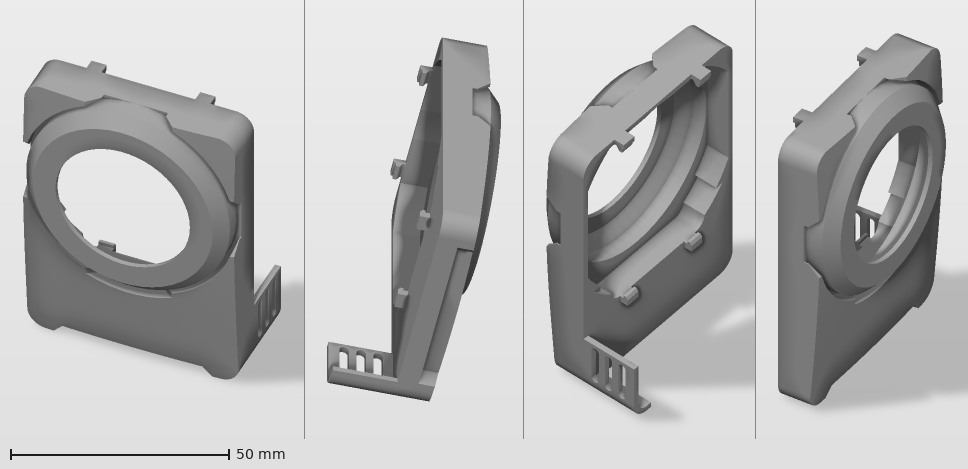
import cadquery as cq

WIDTH = 53.0
HEIGHT = 74.0
CORNER_RADIUS = 4.5
WALL = 1.5
SEAM_DEPTH = 6.95

COVER_DEPTH = 11.25
COVER_SLOPE = 0.1
CONE_REACH = 59.2

RING_RADIUS = 25.6
RING_CENTER_Z = HEIGHT - RING_RADIUS
RING_DEPTH = 14.5
RING_CHAMFER = 3.0
HOLE_RADIUS = 16.9
LIP_THICKNESS = 1.2
RING_BORE_RADIUS = 24.5
RING_BORE_CHAMFER = 2.95

GROOVE_RADIUS = 26.8
NOTCH_RADIUS = 28.2
NOTCH_STEP_DEPTH = 8.2
VERTICAL_NOTCH_HALF_WIDTH = 8.1
SIDE_NOTCH_HALF_WIDTH = 5.3

RECESS_DEPTH = 4.9
RECESS_HEIGHT = 2.45
RECESS_HALF_WIDTH = 19.9
RECESS_TOP_HALF_WIDTH = 17.6

POCKET_RADIUS = 29.6
POCKET_DEPTH = 6.4
POCKET_FLOOR_Z = 20.95
POCKET_FLOOR_HALF_WIDTH = 16.5
POCKET_CORNER_RADIUS = 2.95
LUG_RADIUS = 27.9
LUG_TOP_DROP = 11.7
LUG_BOTTOM_DROP = 18.8

FLANGE_LENGTH = 15.2
FLANGE_HEIGHT = 16.95
FLANGE_WIDTH = 6.0
SLOT_WIDTH = 2.15
SLOT_LENGTH = 11.0
SLOT_CENTER_Z = 10.4
SLOT_FIRST_Y = 3.5
SLOT_PITCH = 4.0
SLOT_COUNT = 3

HOOK_WIDTH = 3.8
TOP_HOOK_STARTS = (-15.55, 11.8)
BOTTOM_HOOK_STARTS = (-12.95, 9.8)
HOOK_THICKNESS = 1.8


def plate(depth, inset=0.0):
    """Rounded rectangle from the rear plane (Y = 0) forwards, optionally inset all round."""
    return (
        cq.Workplane("XZ")
        .center(0, HEIGHT / 2)
        .rect(WIDTH - 2 * inset, HEIGHT - 2 * inset)
        .extrude(depth)
        .edges("|Y")
        .fillet(CORNER_RADIUS - inset)
    )


def disc(radius, start, end):
    """Cylinder on the ring axis between two depths in front of the rear plane."""
    return (
        cq.Workplane("XZ", origin=(0, -start, RING_CENTER_Z))
        .circle(radius)
        .extrude(end - start)
    )


def turned(points):
    """Solid of revolution on the ring axis from (radius, depth) points."""
    return (
        cq.Workplane("XY", origin=(0, 0, RING_CENTER_Z))
        .polyline([(radius, -depth) for radius, depth in points])
        .close()
        .revolve(360, (0, 0, 0), (0, 1, 0))
    )


def cover_cone():
    center_depth = COVER_DEPTH + COVER_SLOPE * GROOVE_RADIUS
    rim_depth = center_depth - COVER_SLOPE * CONE_REACH
    return turned([(0, 0), (CONE_REACH, 0), (CONE_REACH, rim_depth), (0, center_depth)])


def notch_profile(workplane, half_width):
    """Channel profile: straight sides at the floor, then opening at 45 degrees."""
    flare = RING_DEPTH - NOTCH_STEP_DEPTH
    return workplane.polyline([
        (-half_width, -SEAM_DEPTH),
        (-half_width, -NOTCH_STEP_DEPTH),
        (-half_width - flare, -RING_DEPTH),
        (half_width + flare, -RING_DEPTH),
        (half_width, -NOTCH_STEP_DEPTH),
        (half_width, -SEAM_DEPTH),
    ]).close()


def notches():
    """Vertical and sideways channels crossing at the ring axis, ending at the notch radius."""
    vertical_plane = cq.Workplane("XY", origin=(0, 0, RING_CENTER_Z))
    side_plane = cq.Workplane(
        cq.Plane(origin=(0, 0, RING_CENTER_Z), xDir=(0, 0, -1), normal=(1, 0, 0))
    )
    vertical = notch_profile(vertical_plane, VERTICAL_NOTCH_HALF_WIDTH).extrude(NOTCH_RADIUS, both=True)
    sideways = notch_profile(side_plane, SIDE_NOTCH_HALF_WIDTH).extrude(NOTCH_RADIUS, both=True)
    return vertical.union(sideways).intersect(disc(NOTCH_RADIUS, SEAM_DEPTH, RING_DEPTH))


def bottom_recess():
    return (
        cq.Workplane("XZ", origin=(0, -RECESS_DEPTH, 0))
        .polyline([
            (-RECESS_HALF_WIDTH, 0),
            (RECESS_HALF_WIDTH, 0),
            (RECESS_TOP_HALF_WIDTH, RECESS_HEIGHT),
            (-RECESS_TOP_HALF_WIDTH, RECESS_HEIGHT),
        ])
        .close()
        .extrude(RING_DEPTH - RECESS_DEPTH)
    )


def bezel_ring():
    return disc(RING_RADIUS, SEAM_DEPTH, RING_DEPTH).faces("<Y").chamfer(RING_CHAMFER)


def ring_bore():
    """Bore behind the front lip, narrowing to follow the outer chamfer of the ring."""
    return (
        disc(RING_BORE_RADIUS, 0, RING_DEPTH - LIP_THICKNESS)
        .faces("<Y")
        .chamfer(RING_BORE_CHAMFER)
    )


def pocket_slab(bottom_z, top_z, half_width):
    """Block of pocket depth, centred on X, between two heights."""
    height = top_z - bottom_z
    return (
        cq.Workplane("XZ", origin=(0, 0, bottom_z + height / 2))
        .rect(2 * half_width, height)
        .extrude(POCKET_DEPTH)
    )


def rear_pocket():
    """Round pocket inside the rim walls, with a flat floor and a lug on either side."""
    lug_band = pocket_slab(
        RING_CENTER_Z - LUG_BOTTOM_DROP, RING_CENTER_Z - LUG_TOP_DROP, WIDTH / 2
    )
    lugs = lug_band.cut(disc(LUG_RADIUS, 0, POCKET_DEPTH))
    above_floor = pocket_slab(POCKET_FLOOR_Z, HEIGHT, WIDTH / 2)
    round_part = disc(POCKET_RADIUS, 0, POCKET_DEPTH).intersect(above_floor).cut(lugs)
    floor_part = (
        pocket_slab(POCKET_FLOOR_Z, RING_CENTER_Z, POCKET_FLOOR_HALF_WIDTH)
        .edges("|Y and <Z")
        .fillet(POCKET_CORNER_RADIUS)
    )
    return round_part.union(floor_part).intersect(plate(POCKET_DEPTH, WALL))


def corner_flange():
    """Lower corner of the rim carried on behind the rear plane, with slots through its side."""
    rim = plate(-FLANGE_LENGTH).cut(plate(-FLANGE_LENGTH, WALL))
    corner = cq.Workplane("XY").box(
        FLANGE_WIDTH, FLANGE_LENGTH, FLANGE_HEIGHT, centered=False
    ).translate((WIDTH / 2 - FLANGE_WIDTH, 0, 0))
    slot_ys = [SLOT_FIRST_Y + i * SLOT_PITCH for i in range(SLOT_COUNT)]
    slots = (
        cq.Workplane("YZ")
        .pushPoints([(y, SLOT_CENTER_Z) for y in slot_ys])
        .slot2D(SLOT_LENGTH, SLOT_WIDTH, 90)
        .extrude(WIDTH)
    )
    return rim.intersect(corner).cut(slots)


def hook(profile, start_x, base_z):
    """Hook from a (Y, Z) profile, extruded along X."""
    return (
        cq.Workplane("YZ", origin=(start_x, 0, base_z))
        .polyline(profile)
        .close()
        .extrude(HOOK_WIDTH)
    )


TOP_HOOK_PROFILE = [
    (0, 0), (2.8, 0), (2.8, -1.55), (2.3, -1.55), (2.3, -2.8), (1.4, -2.8), (0.7, -WALL), (0, -WALL),
]
BOTTOM_HOOK_PROFILE = [
    (0, -HOOK_THICKNESS), (2.3, -HOOK_THICKNESS), (2.3, 0), (1.8, 0.8), (1.0, 0.8), (1.0, 0), (0, 0),
]

body = plate(RING_DEPTH).intersect(cover_cone())
body = body.cut(disc(GROOVE_RADIUS, SEAM_DEPTH, RING_DEPTH))
body = body.cut(notches())
body = body.cut(bottom_recess())

body = body.union(bezel_ring())
body = body.cut(ring_bore())
body = body.cut(disc(HOLE_RADIUS, 0, RING_DEPTH))
body = body.cut(rear_pocket())

body = body.union(corner_flange())
for hook_x in TOP_HOOK_STARTS:
    body = body.union(hook(TOP_HOOK_PROFILE, hook_x, HEIGHT))
for hook_x in BOTTOM_HOOK_STARTS:
    body = body.union(hook(BOTTOM_HOOK_PROFILE, hook_x, POCKET_FLOOR_Z))

result = body